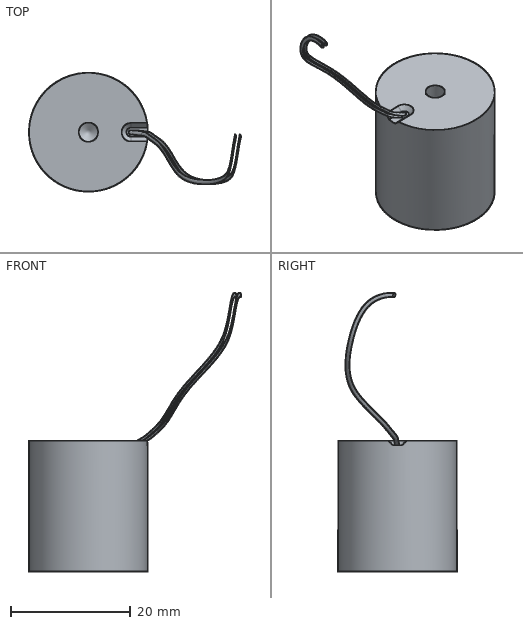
import cadquery as cq
import math

body_diameter = 20.0
body_height = 22.0

hole_diameter = 3.24
hole_depth = 8.0
drill_tip_angle = 118.0

slot_depth = 0.8
slot_floor_radius = 0.75
slot_wall_angle = 45.0
slot_round_center_x = 7.13

wire_width = 0.75
wire_thickness = 0.45
wire_spacing = 0.8

wire_root = (6.9, 0.04, 20.8)
wire_bend_points = [
    (9.4, -0.25, 22.2),
    (10.55, -0.8, 23.05),
    (12.0, -1.9, 24.4),
    (13.82, -4.42, 27.0),
    (15.95, -7.25, 30.28),
    (20.05, -8.4, 34.87),
    (22.84, -7.85, 38.8),
    (23.98, -6.5, 42.74),
    (24.42, -4.65, 45.2),
    (24.74, -2.65, 46.24),
    (25.13, -0.55, 46.43),
]


def make_body():
    return cq.Workplane("XY").circle(body_diameter / 2).extrude(body_height)


def make_hole():
    """Drilled hole with a conical tip, revolved about the body axis."""
    radius = hole_diameter / 2
    tip_length = radius / math.tan(math.radians(drill_tip_angle / 2))
    bottom = body_height - hole_depth
    return (
        cq.Workplane("XZ")
        .moveTo(0, body_height)
        .lineTo(radius, body_height)
        .lineTo(radius, bottom)
        .lineTo(0, bottom - tip_length)
        .close()
        .revolve(360, (0, 0, 0), (0, 1, 0))
    )


def make_slot():
    """Slot outline at the floor, widening upward to the top face."""
    outer_end_x = body_diameter / 2 + 2 * slot_depth
    return (
        cq.Workplane("XY", origin=(0, 0, body_height - slot_depth))
        .moveTo(outer_end_x, -slot_floor_radius)
        .lineTo(outer_end_x, slot_floor_radius)
        .lineTo(slot_round_center_x, slot_floor_radius)
        .threePointArc(
            (slot_round_center_x - slot_floor_radius, 0),
            (slot_round_center_x, -slot_floor_radius),
        )
        .close()
        .extrude(slot_depth, taper=-slot_wall_angle)
    )


def make_wire_path(x_offset):
    offset = cq.Vector(x_offset, 0, 0)
    root = cq.Vector(*wire_root) + offset
    bend_points = [cq.Vector(*point) + offset for point in wire_bend_points]
    root_direction = (bend_points[0] - root).normalized()
    straight = cq.Edge.makeLine(root, bend_points[0])
    tangents = [root_direction] + [None] * (len(bend_points) - 1)
    curve = cq.Edge.makeSpline(bend_points, tangents=tangents)
    return cq.Wire.assembleEdges([straight, curve])


def make_wire(x_offset):
    """One wire, its thin direction kept turned toward a parallel guide curve on its +X side."""
    path = make_wire_path(x_offset)
    guide_path = make_wire_path(x_offset + wire_spacing)

    root_direction = path.tangentAt(0)
    across = root_direction.cross(cq.Vector(0, 0, 1))
    section_plane = cq.Plane(origin=path.startPoint(), xDir=across, normal=root_direction)
    return (
        cq.Workplane(section_plane)
        .ellipse(wire_width / 2, wire_thickness / 2)
        .sweep(path, auxSpine=cq.Workplane(guide_path))
    )


result = make_body().cut(make_hole()).cut(make_slot())

for wire_offset in (-wire_spacing / 2, wire_spacing / 2):
    result = result.union(make_wire(wire_offset))